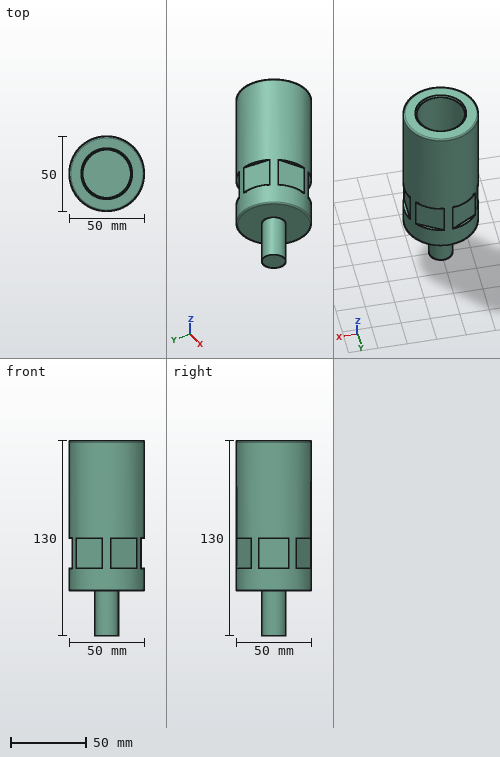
import cadquery as cq

total_height = 130.0
body_diameter = 50.0
pin_diameter = 16.0
pin_length = 30.0
bore_diameter = 32.0
bore_depth = 65.0
edge_fillet = 1.0
bore_chamfer = 1.0

flat_count = 6
across_flats = 45.9
flats_above_body_base = 15.0
flat_height = 20.0

body_height = total_height - pin_length
flats_base = pin_length + flats_above_body_base


def make_body():
    """Cylinder standing on top of the pin, rounded at both ends."""
    body = cq.Workplane("XY").workplane(offset=pin_length).circle(body_diameter / 2).extrude(body_height)
    return body.faces("<Z or >Z").edges().fillet(edge_fillet)


def make_pin():
    return cq.Workplane("XY").circle(pin_diameter / 2).extrude(pin_length)


def cut_bore(body):
    """Blind bore from the top with a chamfered mouth."""
    mouth = body.faces(">Z").workplane().hole(bore_diameter, bore_depth)
    return mouth.faces(">Z").edges(cq.selectors.RadiusNthSelector(0)).chamfer(bore_chamfer)


def cut_wrench_flats(body):
    """Flats spaced evenly around Z, the first one facing +X."""
    cutter_depth = body_diameter - across_flats
    cutter = (
        cq.Workplane("XY")
        .box(cutter_depth, body_diameter, flat_height, centered=(False, True, False))
        .translate((across_flats / 2, 0, flats_base))
    )
    for index in range(flat_count):
        body = body.cut(cutter.rotate((0, 0, 0), (0, 0, 1), index * 360 / flat_count))
    return body


result = cut_wrench_flats(cut_bore(make_body())).union(make_pin())